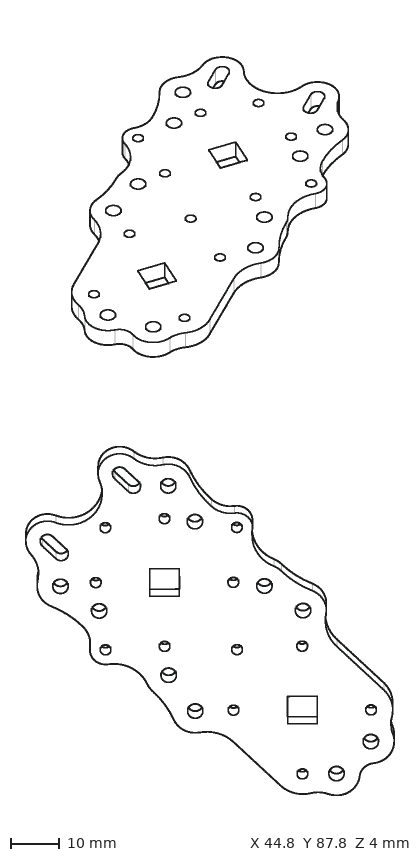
import cadquery as cq
import math

length = 87.8
width = 44.8
thickness = 4.0
top_y = length / 2
bottom_y = -length / 2

small_hole_diameter = 2.2
bolt_hole_diameter = 3.2
slot_width = 3.0
slot_length = 6.9
window_side = 6.1

grid_pitch = 20.0
grid_rows = 4
grid_top_y = 25.9

centre_hole_ys = (33.1, -5.2)
ear_radius = 3.25
ear_centre = (width / 2 - ear_radius, 14.0)

bolt_lobe_radius = 4.8
bolt_mirror_y = 10.9
inner_bolt_x = 14.0
inner_bolt_offset = 10.1
outer_bolt_x = 15.7
outer_bolt_offset = 19.6
upper_outer_bolt = (outer_bolt_x, bolt_mirror_y + outer_bolt_offset)
upper_inner_bolt = (inner_bolt_x, bolt_mirror_y + inner_bolt_offset)
lower_inner_bolt = (inner_bolt_x, bolt_mirror_y - inner_bolt_offset)
lower_outer_bolt = (outer_bolt_x, bolt_mirror_y - outer_bolt_offset)
bottom_bolt = (5.0, bottom_y + bolt_lobe_radius)
bolt_holes = (upper_outer_bolt, upper_inner_bolt, lower_inner_bolt, lower_outer_bolt, bottom_bolt)

slot_lobe_radius = 4.5
slot_lobe_centre = (10.5, top_y - slot_lobe_radius)
slot_centre = (slot_lobe_centre[0], slot_lobe_centre[1] - (slot_length - slot_width) / 2)

upper_window_y = 15.9
window_ys = (upper_window_y, upper_window_y - 2 * grid_pitch)

side_x = 15.0
corner_radius = 6.4
corner_centre = (side_x - corner_radius, -32.8)

bottom_valley_radius = 3.2
bottom_blend_radius = 6.0
shoulder_radius = 7.8
waist_radius = 19.3
below_ear_radius = 7.5
above_ear_radius = 5.6
top_blend_radius = 6.9


def blend(first, second, radius):
    """Circle touching two circles externally, on the right when going from first to second."""
    (x1, y1), r1 = first
    (x2, y2), r2 = second
    gap = math.dist((x1, y1), (x2, y2))
    reach = r1 + radius
    along = (gap**2 + reach**2 - (r2 + radius)**2) / (2 * gap)
    across = math.sqrt(reach**2 - along**2)
    ux, uy = (x2 - x1) / gap, (y2 - y1) / gap
    centre = (x1 + along * ux + across * uy, y1 + along * uy - across * ux)
    return centre, radius


def touch_point(first, second):
    """Contact point of two externally touching circles."""
    (x1, y1), r1 = first
    (x2, y2), r2 = second
    share = r1 / (r1 + r2)
    return x1 + share * (x2 - x1), y1 + share * (y2 - y1)


def arc_to(sketch, circle, start, end):
    """Add the shorter arc of the circle between start and end."""
    (cx, cy), radius = circle
    dx = start[0] + end[0] - 2 * cx
    dy = start[1] + end[1] - 2 * cy
    scale = radius / math.hypot(dx, dy)
    return sketch.threePointArc((cx + scale * dx, cy + scale * dy), end)


def mirrored(points):
    """The points together with their mirror images across the centre line."""
    return [(side * x, y) for x, y in points for side in (1, -1)]


def half_plate():
    """Right half of the plate, outlined from the bottom valley up to the top valley."""
    bottom_lobe = (bottom_bolt, bolt_lobe_radius)
    corner = (corner_centre, corner_radius)
    lower_outer = (lower_outer_bolt, bolt_lobe_radius)
    lower_inner = (lower_inner_bolt, bolt_lobe_radius)
    ear = (ear_centre, ear_radius)
    upper_inner = (upper_inner_bolt, bolt_lobe_radius)
    upper_outer = (upper_outer_bolt, bolt_lobe_radius)
    slot_lobe = (slot_lobe_centre, slot_lobe_radius)

    bottom_drop = math.sqrt((bolt_lobe_radius + bottom_valley_radius)**2 - bottom_bolt[0]**2)
    bottom_valley = ((0, bottom_bolt[1] - bottom_drop), bottom_valley_radius)
    top_rise = math.sqrt((slot_lobe_radius + top_blend_radius)**2 - slot_lobe_centre[0]**2)
    top_valley = ((0, slot_lobe_centre[1] + top_rise), top_blend_radius)

    shoulder_x = side_x + shoulder_radius
    shoulder_run = shoulder_x - outer_bolt_x
    shoulder_drop = math.sqrt((bolt_lobe_radius + shoulder_radius)**2 - shoulder_run**2)
    shoulder = ((shoulder_x, lower_outer_bolt[1] - shoulder_drop), shoulder_radius)

    below_side = [bottom_valley, bottom_lobe, blend(bottom_lobe, corner, bottom_blend_radius), corner]
    above_side = [
        shoulder,
        lower_outer,
        blend(lower_outer, lower_inner, waist_radius),
        lower_inner,
        blend(lower_inner, ear, below_ear_radius),
        ear,
        blend(ear, upper_inner, above_ear_radius),
        upper_inner,
        blend(upper_inner, upper_outer, waist_radius),
        upper_outer,
        blend(upper_outer, slot_lobe, top_blend_radius),
        slot_lobe,
        top_valley,
    ]

    def follow(sketch, circles, start, end):
        """Run along touching circles from start to end."""
        for circle, following in zip(circles, circles[1:]):
            contact = touch_point(circle, following)
            sketch = arc_to(sketch, circle, start, contact)
            start = contact
        return arc_to(sketch, circles[-1], start, end)

    start = (0, bottom_valley[0][1] + bottom_valley_radius)
    side_bottom = (side_x, corner_centre[1])
    side_top = (side_x, shoulder[0][1])
    end = (0, top_valley[0][1] - top_blend_radius)

    outline = follow(cq.Workplane("XY").moveTo(*start), below_side, start, side_bottom)
    outline = outline.lineTo(*side_top)
    outline = follow(outline, above_side, side_top, end)
    return outline.close().extrude(thickness)


def round_holes(points, diameter):
    return cq.Workplane("XY").pushPoints(points).circle(diameter / 2).extrude(thickness)


def slots():
    return (
        cq.Workplane("XY")
        .pushPoints(mirrored([slot_centre]))
        .slot2D(slot_length, slot_width, 90)
        .extrude(thickness)
    )


def windows():
    half_diagonal = window_side / math.sqrt(2)
    cutter = cq.Workplane("XY")
    for y in window_ys:
        corners = [(half_diagonal, y), (0, y + half_diagonal), (-half_diagonal, y), (0, y - half_diagonal)]
        cutter = cutter.polyline(corners).close()
    return cutter.extrude(thickness)


grid_points = [(grid_pitch / 2, grid_top_y - row * grid_pitch) for row in range(grid_rows)]
small_holes = mirrored(grid_points + [ear_centre]) + [(0, y) for y in centre_hole_ys]

right_half = half_plate()
plate = right_half.union(right_half.mirror("YZ")).clean()

result = (
    plate
    .cut(round_holes(small_holes, small_hole_diameter))
    .cut(round_holes(mirrored(bolt_holes), bolt_hole_diameter))
    .cut(slots())
    .cut(windows())
)